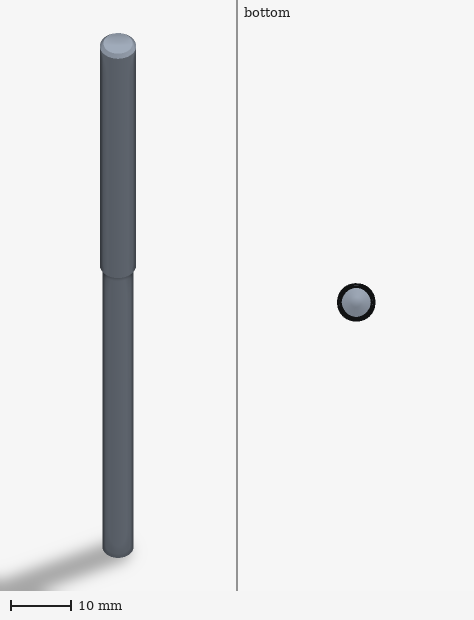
import cadquery as cq
import math

OVERALL_LENGTH = 118.94
DRILL_DIAMETER = 5.15
POINT_ANGLE = 140.0
CUTTING_LENGTH = 42.2
SHANK_DIAMETER = 6.0
SHANK_LENGTH = 52.0
SHANK_CHAMFER = 0.6

drill_radius = DRILL_DIAMETER / 2
shank_radius = SHANK_DIAMETER / 2
point_height = drill_radius / math.tan(math.radians(POINT_ANGLE / 2))
shank_bottom = OVERALL_LENGTH - SHANK_LENGTH


def revolve_profile(points):
    """Turn a closed outline of (radius, height) points around the Z axis."""
    return cq.Workplane("XZ").polyline(points).close().revolve(360, (0, 0), (0, 1))


def make_cutting_part():
    """Cylindrical cutting part with a conical point at its lower end."""
    return revolve_profile([
        (0, 0),
        (drill_radius, point_height),
        (drill_radius, CUTTING_LENGTH),
        (0, CUTTING_LENGTH),
    ])


def make_shank():
    """Neck standing on the cutting part, and the thicker shank with a chamfered top."""
    return revolve_profile([
        (0, CUTTING_LENGTH),
        (drill_radius, CUTTING_LENGTH),
        (drill_radius, shank_bottom),
        (shank_radius, shank_bottom),
        (shank_radius, OVERALL_LENGTH - SHANK_CHAMFER),
        (shank_radius - SHANK_CHAMFER, OVERALL_LENGTH),
        (0, OVERALL_LENGTH),
    ])


cutting_part = make_cutting_part()
shank = make_shank()

result = cq.Compound.makeCompound([cutting_part.val(), shank.val()])